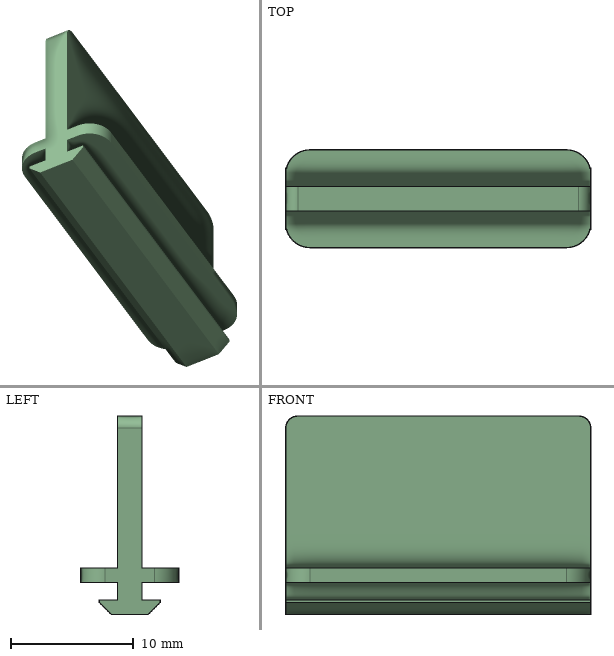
import cadquery as cq

length = 24.9
total_height = 16.2

blade_thickness = 2.0
blade_corner_radius = 1.0

flange_width = 8.0
flange_thickness = 1.2
flange_corner_radius = 2.0

foot_width = 5.0
foot_height = 1.2
foot_chamfer = 1.0
foot_gap = 1.4

flange_bottom = foot_height + foot_gap


def make_blade():
    """Full-height plate with rounded upper corners."""
    blade = cq.Workplane("XY").box(
        length, blade_thickness, total_height, centered=(True, True, False)
    )
    return blade.faces(">Z").edges("|Y").fillet(blade_corner_radius)


def make_flange():
    """Flat plate with rounded vertical corners."""
    flange = cq.Workplane("XY").workplane(offset=flange_bottom).box(
        length, flange_width, flange_thickness, centered=(True, True, False)
    )
    return flange.edges("|Z").fillet(flange_corner_radius)


def make_foot():
    """Full-length bar with its lower long edges chamfered for insertion."""
    foot = cq.Workplane("XY").box(
        length, foot_width, foot_height, centered=(True, True, False)
    )
    return foot.faces("<Z").edges("|X").chamfer(foot_chamfer)


result = make_blade().union(make_flange()).union(make_foot())